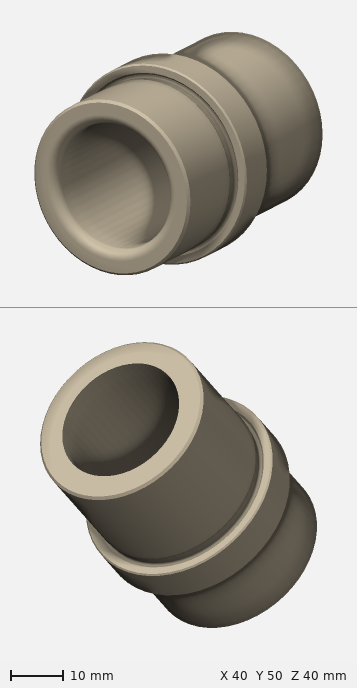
import cadquery as cq

length = 50.0
body_radius = 17.5
bore_radius = 12.5
end_chamfer = 0.5
mouth_fillet = 2.0

collar_radius = 20.0
collar_width = 8.0
front_length = 17.0
collar_chamfer = 0.3

neck_radius = 17.2
groove_width = 2.0
groove_taper = 0.5
undercut_depth = 0.4
undercut_floor_radius = 17.85
undercut_outer_radius = 18.25

front_end = -length / 2
rear_end = length / 2
collar_front = front_end + front_length
collar_rear = collar_front + collar_width


def make_bush_blank():
    """Body and collar with chamfered outer edges."""
    body = (
        cq.Workplane("XZ", origin=(0, rear_end, 0))
        .circle(body_radius)
        .extrude(length)
        .edges()
        .chamfer(end_chamfer)
    )
    collar = (
        cq.Workplane("XZ", origin=(0, collar_rear, 0))
        .circle(collar_radius)
        .extrude(collar_width)
        .edges()
        .chamfer(collar_chamfer)
    )
    return body.union(collar)


def make_bore():
    """Through bore with a rounded mouth at the front end."""
    mouth_radius = bore_radius + mouth_fillet
    return (
        cq.Workplane("XY")
        .moveTo(0, front_end)
        .lineTo(mouth_radius, front_end)
        .radiusArc((bore_radius, front_end + mouth_fillet), mouth_fillet)
        .lineTo(bore_radius, rear_end)
        .lineTo(0, rear_end)
        .close()
        .revolve(360, (0, 0, 0), (0, 1, 0))
    )


def make_relief_groove(face_y, outward):
    """Ring to remove beside a collar face; outward is the Y sign pointing away from it."""
    def point(radius, distance):
        return (radius, face_y + outward * distance)

    arc_end_radius = neck_radius + undercut_depth
    return (
        cq.Workplane("XY")
        .moveTo(*point(body_radius, groove_width))
        .lineTo(*point(neck_radius, groove_width - groove_taper))
        .lineTo(*point(neck_radius, 0))
        .radiusArc(point(arc_end_radius, -undercut_depth), -outward * undercut_depth)
        .lineTo(*point(undercut_floor_radius, -undercut_depth))
        .lineTo(*point(undercut_outer_radius, 0))
        .lineTo(*point(undercut_outer_radius, groove_width))
        .close()
        .revolve(360, (0, 0, 0), (0, 1, 0))
    )


result = make_bush_blank().cut(make_bore())
for face_y, outward in ((collar_front, -1), (collar_rear, 1)):
    result = result.cut(make_relief_groove(face_y, outward))